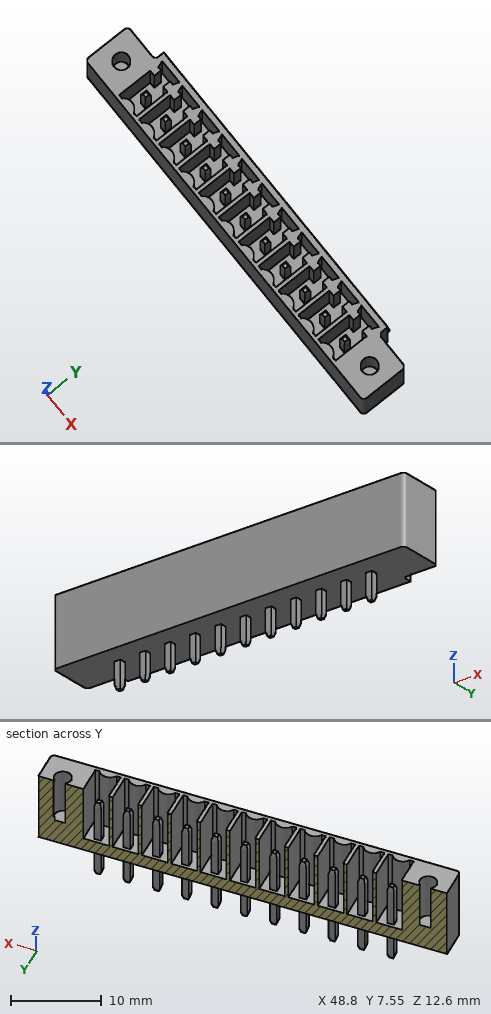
import cadquery as cq


length = 48.8
height = 9.15
flange_depth = 6.0
row_length = 39.35
row_depth = 7.25
corner_radius = 0.5

strip_depth = 0.3
strip_height = 0.6
strip_top_drop = 2.8

hole_diameter = 2.0
hole_depth = 5.85
hole_spacing = 43.65

pin_count = 11
pin_span = 35.0
pin_width = 0.85
pin_tip_width = 0.5
pin_taper = 0.6
pin_below = 3.45
pin_top_drop = 2.0

pocket_half_width = 1.5
pocket_front = -2.55
pocket_back = 3.5
pocket_floor = 1.75
neck_half_width = 0.8
neck_front = 1.8
neck_back = 2.8
slot_half_width = 1.25
bump_half_width = 1.02
bump_height = 0.6

flange_back = flange_depth / 2
row_back = row_depth - flange_back
pin_pitch = pin_span / (pin_count - 1)
pin_positions = [i * pin_pitch - pin_span / 2 for i in range(pin_count)]


def make_housing():
    """Flanged block with rounded flange corners and rounded inner steps."""
    flanges = cq.Workplane("XY").box(length, flange_depth, height, centered=(True, True, False))
    flanges = flanges.edges("|Z").fillet(corner_radius)
    row = (
        cq.Workplane("XY")
        .center(0, row_back - row_depth / 2)
        .box(row_length, row_depth, height, centered=(True, True, False))
    )
    reach = corner_radius / 2
    near_inner_steps = cq.selectors.BoxSelector(
        (-row_length / 2 - reach, flange_back - reach, 0),
        (row_length / 2 + reach, flange_back + reach, height),
    )
    return flanges.union(row).edges("|Z").edges(near_inner_steps).fillet(corner_radius)


def make_latch_strip():
    """Thin rib along the back of the contact row."""
    middle_y = row_back + strip_depth / 2
    middle_z = height - strip_top_drop - strip_height / 2
    return (
        cq.Workplane("XY", origin=(0, middle_y, middle_z))
        .box(row_length, strip_depth, strip_height)
    )


def make_mounting_holes():
    """Blind holes sunk from the top of both end flanges."""
    return (
        cq.Workplane("XY", origin=(0, 0, height - hole_depth))
        .pushPoints([(-hole_spacing / 2, 0), (hole_spacing / 2, 0)])
        .circle(hole_diameter / 2)
        .extrude(hole_depth)
    )


def make_pocket():
    """One keyed pocket, centred on its pin, open at the top."""
    bump_top = pocket_front + bump_height
    return (
        cq.Workplane("XY")
        .workplane(offset=pocket_floor)
        .moveTo(-pocket_half_width, pocket_front)
        .lineTo(-bump_half_width, pocket_front)
        .threePointArc((0, bump_top), (bump_half_width, pocket_front))
        .lineTo(pocket_half_width, pocket_front)
        .lineTo(pocket_half_width, neck_front)
        .lineTo(neck_half_width, neck_front)
        .lineTo(neck_half_width, neck_back)
        .lineTo(slot_half_width, neck_back)
        .lineTo(pocket_half_width, pocket_back)
        .lineTo(-pocket_half_width, pocket_back)
        .lineTo(-slot_half_width, neck_back)
        .lineTo(-neck_half_width, neck_back)
        .lineTo(-neck_half_width, neck_front)
        .lineTo(-pocket_half_width, neck_front)
        .close()
        .extrude(height - pocket_floor)
    )


def make_pin():
    """Square pin with a tapered tip at both ends."""
    bottom = -pin_below
    top = height - pin_top_drop
    shank_bottom = bottom + pin_taper
    shank_top = top - pin_taper
    shank = (
        cq.Workplane("XY")
        .workplane(offset=shank_bottom)
        .rect(pin_width, pin_width)
        .extrude(shank_top - shank_bottom)
    )

    def tip(wide_z, end_z):
        return (
            cq.Workplane("XY")
            .workplane(offset=wide_z)
            .rect(pin_width, pin_width)
            .workplane(offset=end_z - wide_z)
            .rect(pin_tip_width, pin_tip_width)
            .loft()
        )

    return shank.union(tip(shank_bottom, bottom)).union(tip(shank_top, top))


result = make_housing().union(make_latch_strip()).cut(make_mounting_holes())

pocket = make_pocket()
pin = make_pin()
for x in pin_positions:
    result = result.cut(pocket.translate((x, 0, 0))).union(pin.translate((x, 0, 0)))